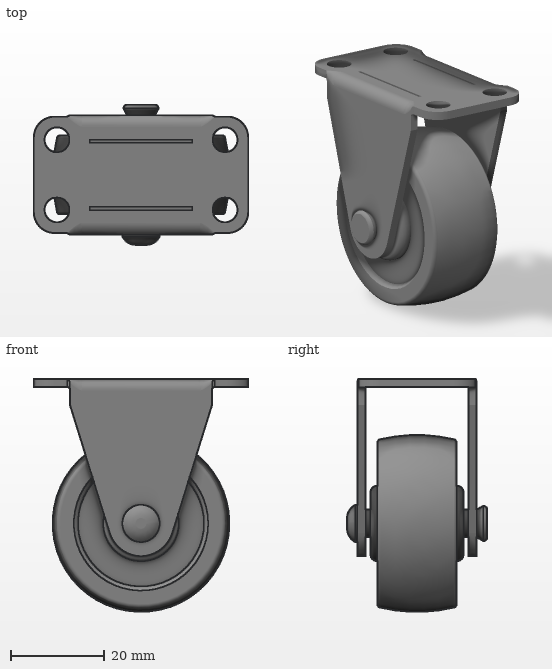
import cadquery as cq
import math


plate_length = 46.0
plate_width = 25.0
sheet = 1.8
plate_corner_radius = 4.5
mount_pitch_x = 36.0
mount_pitch_y = 15.0
mount_hole_dia = 5.3
groove_length = 22.0
groove_width = 0.7
groove_depth = 0.2
groove_offset = 7.2

fork_width = 25.6
leg_half_width = 15.25
shoulder_drop = 5.6
axle_drop = 31.0
leg_tip_radius = 7.0
bend_radius = 2.5
bend_straight_half = 12.6
taper_power = 1.5
taper_steps = 4
corner_fillet = 0.45
notch_length = 0.6

wheel_radius = 19.0
wheel_width = 17.0
crown_edge_radius = 18.1
rim_edge_radius = 0.8
rim_inner_radius = 14.4
web_radius = 13.5
web_recess = 1.0
hub_radius = 8.1
hub_width = 20.0
hub_edge_radius = 1.5

shaft_radius = 3.0
head_height = 2.25
head_radius = 4.0
head_rim = 0.45
head_flat_radius = 1.15
dome_bulge = 0.45
tail_radius = 3.8
tail_cone = 1.45
tail_end_radius = 3.2
tail_bulge = 0.12

fork_half = fork_width / 2
bridge_half = leg_half_width + notch_length
bend_end_radius = fork_half - plate_width / 2


def cylinder_along_y(radius, length):
    """Cylinder on the axle line, centred on Y = 0."""
    disc = cq.Workplane("XZ", origin=(0, length / 2, -axle_drop)).circle(radius)
    return disc.extrude(length)


def make_plate():
    plate = cq.Workplane("XY").box(plate_length, plate_width, sheet, centered=(True, True, False))
    plate = plate.translate((0, 0, -sheet))
    return plate.edges("|Z").fillet(plate_corner_radius)


def make_bridge(depth):
    """Wider middle of the plate, with sloped ends running out to the plate's sides."""
    side = plate_width / 2
    quarter = [(bridge_half, side), (leg_half_width, fork_half)]
    outline = quarter + [(-x, y) for x, y in reversed(quarter)]
    outline += [(-x, -y) for x, y in outline]
    return cq.Workplane("XY").polyline(outline).close().extrude(-depth)


def make_fork_opening():
    """Space between the two legs, taller than the whole fork."""
    inner_width = fork_width - 2 * sheet
    return cq.Workplane("XY").box(plate_length, inner_width, 4 * axle_drop)


def make_leg_blanks():
    """Both legs, tapering from the shoulders to a round tip about the axle."""
    shoulder_to_axle = axle_drop - shoulder_drop
    reach = math.hypot(leg_half_width, shoulder_to_axle)
    shoulder_angle = math.atan2(shoulder_to_axle, leg_half_width)
    tangent_angle = shoulder_angle - math.acos(leg_tip_radius / reach)
    tangent_x = leg_tip_radius * math.cos(tangent_angle)
    tangent_z = leg_tip_radius * math.sin(tangent_angle) - axle_drop
    profile = (
        cq.Workplane("XZ", origin=(0, fork_half, 0))
        .moveTo(-leg_half_width, 0)
        .lineTo(leg_half_width, 0)
        .lineTo(leg_half_width, -shoulder_drop)
        .lineTo(tangent_x, tangent_z)
        .threePointArc((0, -axle_drop - leg_tip_radius), (-tangent_x, tangent_z))
        .lineTo(-leg_half_width, -shoulder_drop)
        .close()
        .extrude(fork_width)
    )
    return profile.cut(make_fork_opening())


def make_corner_fillets():
    """Small concave fillets under the bridge, against the end faces of both legs."""
    face = leg_half_width
    low = -sheet - corner_fillet
    fillet = (
        cq.Workplane("XZ", origin=(0, fork_half, 0))
        .moveTo(face, -sheet)
        .lineTo(face + corner_fillet, -sheet)
        .radiusArc((face, low), -corner_fillet)
        .close()
        .extrude(fork_width)
    )
    fillets = fillet.union(fillet.mirror("YZ"))
    return fillets.cut(make_fork_opening()).intersect(make_bridge(sheet + corner_fillet))


def bend_waste_section(x, side, radius):
    """Square corner minus a quarter round, in the plane at x; side is +1 or -1."""
    outer = side * fork_half
    inner = side * (fork_half - radius)
    middle = radius * (1 - math.sqrt(0.5))
    return (
        cq.Workplane("YZ", origin=(x, 0, 0))
        .moveTo(inner, 0)
        .lineTo(outer, 0)
        .lineTo(outer, -radius)
        .threePointArc((side * (fork_half - middle), -middle), (inner, 0))
        .close()
    )


def make_bend_waste(side):
    """Material outside the rounded bend, whose radius shrinks smoothly towards both ends."""
    straight = bend_waste_section(-bend_straight_half, side, bend_radius)
    waste = straight.extrude(2 * bend_straight_half)
    taper_length = bridge_half - bend_straight_half
    for end in (1, -1):
        sections = []
        for step in range(taper_steps + 1):
            progress = step / taper_steps
            x = end * (bend_straight_half + taper_length * progress)
            radius = bend_radius - (bend_radius - bend_end_radius) * progress**taper_power
            sections.append(bend_waste_section(x, side, radius).wires().val())
        waste = waste.union(cq.Workplane(cq.Solid.makeLoft(sections)))
    return waste


def make_bracket():
    bracket = make_plate().union(make_bridge(sheet)).union(make_leg_blanks()).union(make_corner_fillets())
    for side in (1, -1):
        bracket = bracket.cut(make_bend_waste(side))
    mount_holes = (
        cq.Workplane("XY")
        .rarray(mount_pitch_x, mount_pitch_y, 2, 2)
        .circle(mount_hole_dia / 2)
        .extrude(-sheet)
    )
    grooves = (
        cq.Workplane("XY")
        .rarray(1, 2 * groove_offset, 1, 2)
        .rect(groove_length, groove_width)
        .extrude(-groove_depth)
    )
    axle_holes = cylinder_along_y(shaft_radius, fork_width)
    return bracket.cut(mount_holes).cut(grooves).cut(axle_holes)


def revolve_about_axle(profile):
    """Revolve a (radius, Y) profile and lower it to the axle."""
    return profile.revolve(360, (0, 0, 0), (0, 1, 0)).translate((0, 0, -axle_drop))


def make_wheel():
    rim_half = wheel_width / 2
    web_half = rim_half - web_recess
    hub_half = hub_width / 2
    profile = (
        cq.Workplane("XY")
        .moveTo(shaft_radius, -hub_half)
        .lineTo(hub_radius - hub_edge_radius, -hub_half)
        .radiusArc((hub_radius, -hub_half + hub_edge_radius), -hub_edge_radius)
        .lineTo(hub_radius, -web_half)
        .lineTo(web_radius, -web_half)
        .lineTo(rim_inner_radius, -rim_half)
        .lineTo(crown_edge_radius - rim_edge_radius, -rim_half)
        .radiusArc((crown_edge_radius, -rim_half + rim_edge_radius), -rim_edge_radius)
        .threePointArc((wheel_radius, 0), (crown_edge_radius, rim_half - rim_edge_radius))
        .radiusArc((crown_edge_radius - rim_edge_radius, rim_half), -rim_edge_radius)
        .lineTo(rim_inner_radius, rim_half)
        .lineTo(web_radius, web_half)
        .lineTo(hub_radius, web_half)
        .lineTo(hub_radius, hub_half - hub_edge_radius)
        .radiusArc((hub_radius - hub_edge_radius, hub_half), -hub_edge_radius)
        .lineTo(shaft_radius, hub_half)
        .close()
    )
    return revolve_about_axle(profile)


def make_rivet():
    """Domed head on the -Y side, flared tail on the +Y side."""
    head_end = -fork_half - head_height
    tail_end = fork_half + head_height
    profile = (
        cq.Workplane("XY")
        .moveTo(0, head_end)
        .lineTo(head_flat_radius, head_end)
        .sagittaArc((head_radius, -fork_half - head_rim), -dome_bulge)
        .lineTo(head_radius, -fork_half)
        .lineTo(shaft_radius, -fork_half)
        .lineTo(shaft_radius, fork_half)
        .lineTo(tail_radius, fork_half + tail_cone)
        .sagittaArc((tail_end_radius, tail_end), -tail_bulge)
        .lineTo(0, tail_end)
        .close()
    )
    return revolve_about_axle(profile)


bracket = make_bracket()
wheel = make_wheel()
rivet = make_rivet()
result = cq.Compound.makeCompound([bracket.solids().val(), wheel.val(), rivet.val()])